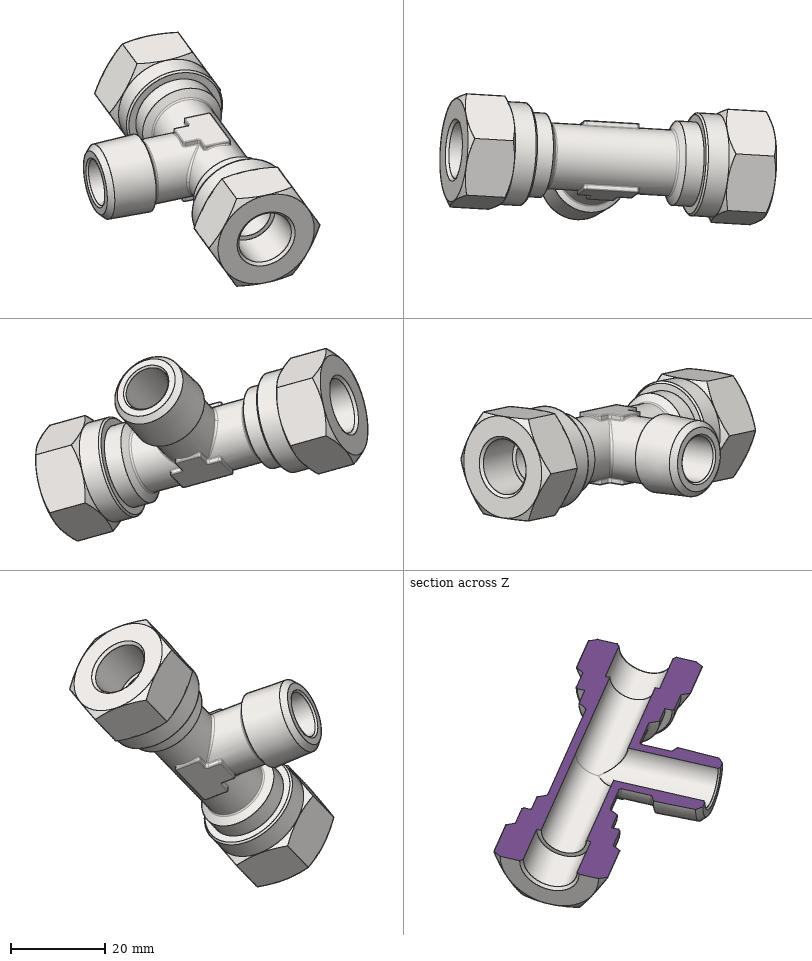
import cadquery as cq
import math

run_half = 34.0
branch_length = 25.5

pipe_radius = 7.0
bore_diameter = 10.0
root_fillet = 0.5

shoulder_radius = 9.0
shoulder_x = 14.6
cone_angle = math.radians(60)

hex_across_flats = 22.0
hex_height = 10.5
hex_chamfer_angle = math.radians(30)
collar_radius = 10.95
collar_length = 4.95
collar_chamfer = 0.4
socket_radius = 6.0
socket_depth = 10.0
socket_chamfer = 0.6

spigot_large_radius = 8.45
spigot_start = 14.95
spigot_taper = 1 / 16
spigot_end_chamfer = 1.2
branch_bore_chamfer = 0.4

pad_height = 7.5
pad_arm_half = 6.05
pad_half_width = 3.0
pad_stem_end = 6.6
pad_corner_radius = 0.5
pad_edge_fillet = 0.2
pad_foot_fillet = 0.2

bore_radius = bore_diameter / 2
hex_corner_radius = hex_across_flats / math.sqrt(3)
hex_inner_x = run_half - hex_height
collar_inner_x = hex_inner_x - collar_length
shoulder_root_x = shoulder_x - (shoulder_radius - pipe_radius) / math.tan(cone_angle)
spigot_root = spigot_start - (spigot_large_radius - pipe_radius) / math.tan(cone_angle)
spigot_small_radius = (
    spigot_large_radius - (branch_length - spigot_end_chamfer - spigot_start) * spigot_taper / 2
)


def revolve_about_x(points):
    """Solid of revolution about X from an outline of (x, radius) points."""
    return cq.Workplane("XY").polyline(points).close().revolve(360, (0, 0, 0), (1, 0, 0))


def revolve_about_branch(points):
    """Solid of revolution about Y from an outline of (radius, y) points."""
    return cq.Workplane("XY").polyline(points).close().revolve(360, (0, 0, 0), (0, 1, 0))


def make_tee():
    """Run pipe with a shoulder at each end, joined to the branch and its spigot."""
    run = revolve_about_x([
        (-collar_inner_x, 0),
        (-collar_inner_x, shoulder_radius),
        (-shoulder_x, shoulder_radius),
        (-shoulder_root_x, pipe_radius),
        (shoulder_root_x, pipe_radius),
        (shoulder_x, shoulder_radius),
        (collar_inner_x, shoulder_radius),
        (collar_inner_x, 0),
    ])
    run = run.edges(cq.selectors.RadiusNthSelector(0)).fillet(root_fillet)
    branch = revolve_about_branch([
        (0, 0),
        (pipe_radius, 0),
        (pipe_radius, -spigot_root),
        (spigot_large_radius, -spigot_start),
        (spigot_small_radius, spigot_end_chamfer - branch_length),
        (spigot_small_radius - spigot_end_chamfer, -branch_length),
        (0, -branch_length),
    ])
    branch_root_edge = cq.selectors.NearestToPointSelector((0, -spigot_root, 0))
    branch = branch.edges(branch_root_edge).fillet(root_fillet)
    return run.union(branch)


def make_nut():
    """Nut on the +X end: hexagon with both ends coned off, plus the round collar."""
    hexagon = (
        cq.Workplane("YZ", origin=(hex_inner_x, 0, 0))
        .polygon(6, 2 * hex_corner_radius)
        .extrude(hex_height)
    )
    chamfer_length = (hex_corner_radius - collar_radius) * math.tan(hex_chamfer_angle)
    cone_envelope = revolve_about_x([
        (hex_inner_x, 0),
        (hex_inner_x, collar_radius),
        (hex_inner_x + chamfer_length, hex_corner_radius),
        (run_half - chamfer_length, hex_corner_radius),
        (run_half, collar_radius),
        (run_half, 0),
    ])
    collar = (
        cq.Workplane("YZ", origin=(collar_inner_x, 0, 0))
        .circle(collar_radius)
        .extrude(collar_length)
        .faces("<X")
        .chamfer(collar_chamfer)
    )
    return hexagon.intersect(cone_envelope).union(collar)


def make_pad():
    """T-shaped block through the body whose two ends stand proud as the flat pads."""
    return (
        cq.Workplane("XY")
        .moveTo(-pad_arm_half, pad_half_width)
        .lineTo(pad_arm_half, pad_half_width)
        .lineTo(pad_arm_half, -pad_half_width)
        .lineTo(pad_half_width, -pad_half_width)
        .lineTo(pad_half_width, -pad_stem_end)
        .lineTo(-pad_half_width, -pad_stem_end)
        .lineTo(-pad_half_width, -pad_half_width)
        .lineTo(-pad_arm_half, -pad_half_width)
        .close()
        .extrude(pad_height, both=True)
        .edges("|Z")
        .fillet(pad_corner_radius)
        .faces("|Z")
        .edges()
        .fillet(pad_edge_fillet)
    )


def make_run_bore():
    """Through bore of the run with a tube socket at each end."""
    socket_mouth_radius = socket_radius + socket_chamfer
    socket_floor_x = run_half - socket_depth
    socket = revolve_about_x([
        (0, 0),
        (0, bore_radius),
        (socket_floor_x, bore_radius),
        (socket_floor_x, socket_radius),
        (run_half - socket_chamfer, socket_radius),
        (run_half, socket_mouth_radius),
        (run_half, 0),
    ])
    return socket.union(socket.mirror("YZ"))


def make_branch_bore():
    """Bore of the branch, opening into the run, with a chamfered mouth."""
    return revolve_about_branch([
        (0, 0),
        (bore_radius, 0),
        (bore_radius, branch_bore_chamfer - branch_length),
        (bore_radius + branch_bore_chamfer, -branch_length),
        (0, -branch_length),
    ])


def round_pad_foot(solid, side):
    """Round the edge where the pad walls meet the body, on the top (1) or bottom (-1)."""
    margin = 0.1
    zone_start = 0.75 * pipe_radius
    foot_zone = cq.selectors.BoxSelector(
        (-pad_arm_half - margin, -pad_stem_end - margin, side * zone_start),
        (pad_arm_half + margin, pad_half_width + margin, side * (pipe_radius + margin)),
        boundingbox=True,
    )
    return solid.edges(foot_zone).fillet(pad_foot_fillet)


body = make_tee().union(make_pad())
body = body.edges("%ELLIPSE").fillet(root_fillet)
for pad_side in (1, -1):
    body = round_pad_foot(body, pad_side)

nut = make_nut()
result = (
    body.union(nut)
    .union(nut.mirror("YZ"))
    .cut(make_run_bore())
    .cut(make_branch_bore())
)